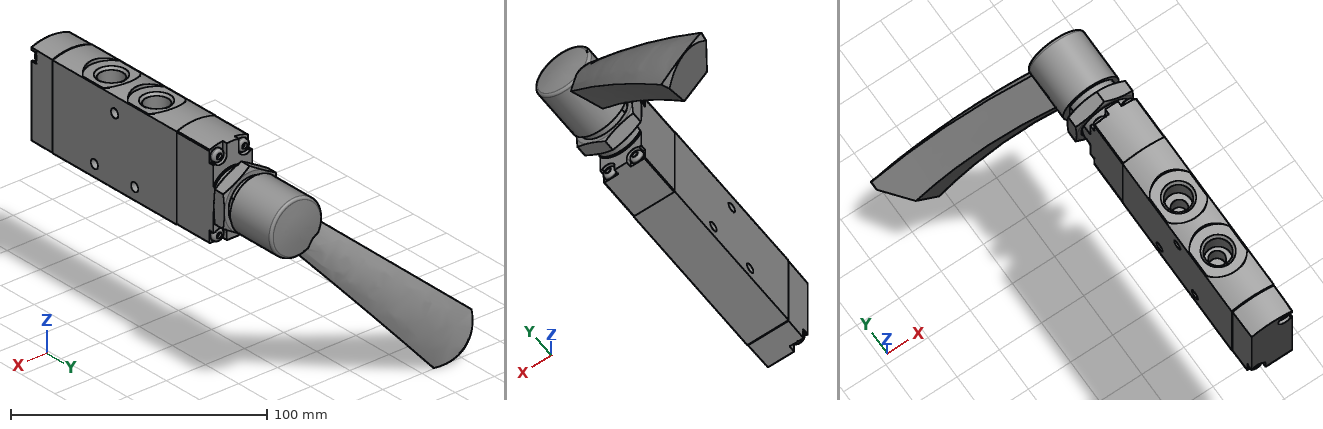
import cadquery as cq
import math


width = 20.0
bottom_z = -20.8
edge_z = 20.8
crown_z = 22.6

cap_end_y = 13.0
body_end_y = 88.5
head_end_y = 110.5
nut_start_y = 115.0
nut_end_y = 121.4
hub_start_y = 124.7
hub_end_y = 149.2

cap_seam_inset = 0.2
cap_end_inset = 0.3

body_end_chamfer = 0.3

port_pitch = 27.3
port_middle_y = 50.8
spotface_diameter = 22.6
spotface_z = 21.0
port_diameter = 11.5
port_depth = 10.0
port_chamfer = 1.2
passage_diameter = 7.0
passage_depth = 8.3
passage_shift = 0.7
side_hole_diameter = 4.3
side_hole_pitch = 24.3
upper_side_hole_z = 13.0
lower_side_hole_z = -14.8

screw_x = 6.5
front_screw_z = 17.2
rear_screw_z = 17.7
screw_diameter = 6.0
screw_height = 2.0
screw_round = 1.3
socket_diameter = 2.5
socket_depth = 1.3
pocket_diameter = 7.0
pocket_side_opening = 5.0
front_pocket_depth = 3.0
rear_pocket_depth = 2.5

head_chamfer = 0.3
neck_diameter = 22.6
collar_diameter = 23.1
collar_thickness = 0.7
nut_across_flats = 27.0
nut_bore = 20.3
nut_chamfer_height = 0.7
bore_chamfer = (neck_diameter - nut_bore) / 2

hub_diameter = 26.5
hub_round = 1.2
dome_height = 0.8
arm_angle = 135
arm_stations = (0, 33.3, 66.6, 103.2)
arm_crown_rise = 2.8
arm_shoulder_y = 143.0
arm_shoulder_slope = 0.32
arm_shoulder_bend = 0.001141
arm_shoulder_half = 7.0
arm_shoulder_widening = 0.07
arm_front_y = 126.9
arm_front_slope = 0.38
arm_front_bend = 0.001802
arm_front_half = 2.7
arm_front_widening = 0.058
tip_radius = 21.1
tip_reach = 101.0
tip_bevel_u = 88.1
tip_bevel_y = 145.7
tip_bevel_run = 0.63


def valve_outline(start_y, side_inset=0.0):
    """Crowned rectangle in the XZ plane at start_y; extruding it goes towards -Y."""
    half = width / 2 - side_inset
    return (
        cq.Workplane("XZ", origin=(0, start_y, 0))
        .moveTo(-half, bottom_z)
        .lineTo(half, bottom_z)
        .lineTo(half, edge_z)
        .threePointArc((0, crown_z), (-half, edge_z))
        .close()
    )


def cylinder_along_y(diameter, start_y, end_y, x=0.0, z=0.0):
    return (
        cq.Workplane("XZ", origin=(x, end_y, z))
        .circle(diameter / 2)
        .extrude(end_y - start_y)
    )


def cylinder_down(diameter, y, top_z, depth):
    return cq.Workplane("XY", origin=(0, y, top_z)).circle(diameter / 2).extrude(-depth)


def block(x_range, y_range, z_range):
    size = [end - start for start, end in (x_range, y_range, z_range)]
    corner = (x_range[0], y_range[0], z_range[0])
    return cq.Workplane("XY", origin=corner).box(*size, centered=False)


def add_screw(part, x, z, face_y, inward, pocket_depth, open_in_z):
    """Sink a screw head into a corner pocket of the end face at face_y."""
    floor_y = face_y + inward * pocket_depth
    y_range = sorted((face_y, floor_y))
    pocket = cylinder_along_y(pocket_diameter, *y_range, x, z)
    pocket = pocket.union(block(
        sorted((x, math.copysign(width, x))), y_range,
        (z - pocket_side_opening / 2, z + pocket_side_opening / 2),
    ))
    if open_in_z:
        pocket = pocket.union(block(
            (x - pocket_diameter / 2, x + pocket_diameter / 2), y_range,
            sorted((z, math.copysign(2 * crown_z, z))),
        ))
    top_y = floor_y - inward * screw_height
    socket_y = top_y + inward * socket_depth
    screw = (
        cylinder_along_y(screw_diameter, *sorted((floor_y, top_y)), x, z)
        .faces(">Y" if inward < 0 else "<Y")
        .edges()
        .fillet(screw_round)
        .cut(cylinder_along_y(socket_diameter, *sorted((socket_y, top_y)), x, z))
    )
    return part.cut(pocket).union(screw)


def make_cap():
    """End cap tapering slightly to its outer face; its lower screw pocket opens downwards."""
    seam_wire = valve_outline(cap_end_y, cap_seam_inset).wires().val()
    end_wire = valve_outline(0, cap_end_inset).wires().val()
    cap = cq.Workplane(cq.Solid.makeLoft([seam_wire, end_wire], True))
    for sign in (1, -1):
        cap = add_screw(
            cap, sign * screw_x, sign * front_screw_z,
            0, 1, front_pocket_depth, open_in_z=sign < 0,
        )
    return cap


def make_body():
    """Valve body with two stepped ports on top and three side holes right through."""
    body = valve_outline(body_end_y).extrude(body_end_y - cap_end_y)
    body = body.faces("<Y").chamfer(body_end_chamfer)
    for sign in (1, -1):
        port_y = port_middle_y + sign * port_pitch / 2
        floor_z = spotface_z - port_depth
        port = cylinder_down(port_diameter, port_y, spotface_z, port_depth)
        mouth = port.faces(">Z").workplane().circle(port_diameter / 2 + port_chamfer)
        mouth = mouth.extrude(-port_chamfer, combine=False, taper=45)
        spotface = cylinder_down(spotface_diameter, port_y, crown_z, crown_z - spotface_z)
        passage = cylinder_down(
            passage_diameter, port_y - sign * passage_shift, floor_z, passage_depth
        )
        for cutter in (spotface, mouth, port, passage):
            body = body.cut(cutter)

    side_holes = (
        cq.Workplane("YZ", origin=(-width / 2, 0, 0))
        .pushPoints([
            (port_middle_y, upper_side_hole_z),
            (port_middle_y - side_hole_pitch / 2, lower_side_hole_z),
            (port_middle_y + side_hole_pitch / 2, lower_side_hole_z),
        ])
        .circle(side_hole_diameter / 2)
        .extrude(width)
    )
    return body.cut(side_holes)


def make_nut():
    """Hexagon with a vertex up, its corners turned off at both faces."""
    thickness = nut_end_y - nut_start_y
    corner_radius = nut_across_flats / math.sqrt(3)
    face_radius = nut_across_flats / 2
    hexagon = (
        cq.Workplane("XZ", origin=(0, nut_end_y, 0))
        .polygon(6, 2 * corner_radius)
        .extrude(thickness)
        .rotate((0, 0, 0), (0, 1, 0), 30)
    )
    turned = (
        cq.Workplane("XY")
        .moveTo(0, nut_start_y)
        .lineTo(face_radius, nut_start_y)
        .lineTo(corner_radius, nut_start_y + nut_chamfer_height)
        .lineTo(corner_radius, nut_end_y - nut_chamfer_height)
        .lineTo(face_radius, nut_end_y)
        .lineTo(0, nut_end_y)
        .close()
        .revolve(360, (0, 0, 0), (0, 1, 0))
    )
    bore = (
        cq.Workplane("XY")
        .moveTo(0, nut_start_y)
        .lineTo(nut_bore / 2 + bore_chamfer, nut_start_y)
        .lineTo(nut_bore / 2, nut_start_y + bore_chamfer)
        .lineTo(nut_bore / 2, nut_end_y - bore_chamfer)
        .lineTo(nut_bore / 2 + bore_chamfer, nut_end_y)
        .lineTo(0, nut_end_y)
        .close()
        .revolve(360, (0, 0, 0), (0, 1, 0))
    )
    return hexagon.intersect(turned).cut(bore)


def make_head():
    """Head block with its flatted neck and the nut on the neck."""
    head = valve_outline(head_end_y).extrude(head_end_y - body_end_y)
    head = head.edges("|Y").chamfer(head_chamfer)
    for x_sign in (1, -1):
        for z_sign in (1, -1):
            head = add_screw(
                head, x_sign * screw_x, z_sign * rear_screw_z,
                head_end_y, -1, rear_pocket_depth, open_in_z=True,
            )
    flats = block(
        (-width / 2, width / 2), (head_end_y, hub_start_y), (-neck_diameter, neck_diameter)
    )
    neck = cylinder_along_y(neck_diameter, head_end_y, hub_start_y)
    collar = cylinder_along_y(collar_diameter, head_end_y, head_end_y + collar_thickness)
    neck = neck.union(collar).intersect(flats)
    return head.union(neck).union(make_nut())


def make_hub():
    """Round hub with a rounded rim and a slightly domed end."""
    radius = hub_diameter / 2
    rim_radius = radius - hub_round
    slope = hub_round * math.sqrt(0.5)
    dome_y = hub_end_y + dome_height
    dome_radius = (rim_radius**2 + dome_height**2) / (2 * dome_height)
    middle_radius = rim_radius / 2
    middle_y = dome_y - dome_radius + math.sqrt(dome_radius**2 - middle_radius**2)
    return (
        cq.Workplane("XY")
        .moveTo(0, hub_start_y)
        .lineTo(radius, hub_start_y)
        .lineTo(radius, hub_end_y - hub_round)
        .threePointArc(
            (rim_radius + slope, hub_end_y - hub_round + slope), (rim_radius, hub_end_y)
        )
        .threePointArc((middle_radius, middle_y), (0, dome_y))
        .close()
        .revolve(360, (0, 0, 0), (0, 1, 0))
    )


def arm_section(u):
    """Arm profile at distance u from the hub axis: wide crowned back, narrow flat front."""
    shoulder_y = arm_shoulder_y + arm_shoulder_slope * u - arm_shoulder_bend * u**2
    front_y = arm_front_y + arm_front_slope * u - arm_front_bend * u**2
    shoulder_half = arm_shoulder_half + arm_shoulder_widening * u
    front_half = arm_front_half + arm_front_widening * u
    return (
        cq.Workplane("YZ", origin=(u, 0, 0))
        .moveTo(front_y, -front_half)
        .lineTo(shoulder_y, -shoulder_half)
        .threePointArc((shoulder_y + arm_crown_rise, 0), (shoulder_y, shoulder_half))
        .lineTo(front_y, front_half)
        .close()
        .wires()
        .val()
    )


def make_arm():
    """Curved, widening arm built along +X, then turned about the hub axis."""
    arm = cq.Workplane(cq.Solid.makeLoft([arm_section(u) for u in arm_stations]))
    tip_centre = tip_reach - tip_radius
    plan = (
        cq.Workplane("XZ", origin=(0, 2 * hub_end_y, 0))
        .moveTo(0, -tip_radius)
        .lineTo(tip_centre, -tip_radius)
        .threePointArc((tip_reach, 0), (tip_centre, tip_radius))
        .lineTo(0, tip_radius)
        .close()
        .extrude(2 * hub_end_y)
    )
    bevel_height = 2 * tip_radius
    bevel = (
        cq.Workplane("XY", origin=(tip_bevel_u, tip_bevel_y, 0))
        .moveTo(-bevel_height * tip_bevel_run, -bevel_height)
        .lineTo(bevel_height * tip_bevel_run, bevel_height)
        .lineTo(bevel_height * tip_bevel_run, -bevel_height)
        .close()
        .extrude(tip_radius, both=True)
    )
    return arm.intersect(plan).cut(bevel).rotate((0, 0, 0), (0, 1, 0), arm_angle)


def make_lever():
    return make_hub().union(make_arm())


cap = make_cap()
body = make_body()
head = make_head()
lever = make_lever()

result = cq.Compound.makeCompound([
    part.solids().val() for part in (cap, body, head, lever)
])